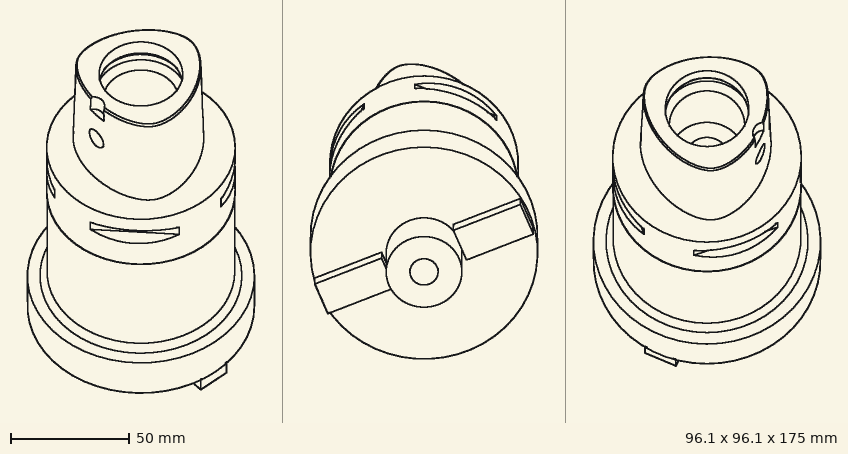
import cadquery as cq
import math

total_height = 175.0
flange_bottom = 22.0
flange_top = 42.0
collar_height = 3.0
band_bottom = 97.1
shank_bottom = 126.9

pilot_radius = 16.01
flange_radius = 48.04
body_radius = 39.7
band_radius = 39.9
collar_radius = body_radius + collar_height

shank_width = 55.3
lobe_offset = 2.0
shank_taper = 1 / 40
shank_chamfer_height = 1.2
shank_chamfer_width = 0.5
outline_steps = 36

mouth_radius = 17.7
mouth_depth = 7.4
groove_radius = 19.2
groove_flare_depth = 10.2
groove_depth = 13.6
bore_radius = 16.0
bore_shoulder_depth = 16.5
recess_radius = 9.0
through_radius = 6.0

notch_radius = 4.9
notch_depth = 8.0
notch_inner_y = -21.9
side_hole_radius = 4.5
side_hole_drop = 23.0
side_hole_floor_y = -19.2

grip_count = 4
grip_floor_distance = 35.2
grip_floor_height = 4.5
grip_mouth_height = 8.5
grip_drop = 11.7

key_width = 14.5
key_height = 7.0
key_inner_x = 16.5
key_outer_x = 47.0


def make_body():
    """Pilot, flange, conical collar and body as one turned solid."""
    profile = [
        (0, 0),
        (pilot_radius, 0),
        (pilot_radius, flange_bottom),
        (flange_radius, flange_bottom),
        (flange_radius, flange_top),
        (collar_radius, flange_top),
        (body_radius, flange_top + collar_height),
        (body_radius, band_bottom),
        (band_radius, band_bottom),
        (band_radius, shank_bottom),
        (0, shank_bottom),
    ]
    return cq.Workplane("XZ").polyline(profile).close().revolve(360, (0, 0), (0, 1))


def lobe_point(mean_radius, angle):
    """Point of the three-lobed outline, with one lobe pointing to +Y."""
    across = mean_radius * math.sin(angle) + lobe_offset * (2 * math.sin(2 * angle) + math.sin(4 * angle))
    along = mean_radius * math.cos(angle) - lobe_offset * (2 * math.cos(2 * angle) - math.cos(4 * angle))
    return (across, -along)


def lobe_wire(mean_radius, height):
    points = []
    for step in range(outline_steps):
        x, y = lobe_point(mean_radius, 2 * math.pi * step / outline_steps)
        points.append(cq.Vector(x, y, height))
    return cq.Wire.assembleEdges([cq.Edge.makeSpline(points, periodic=True)])


def make_shank():
    """Tapered shank with a chamfered top edge."""
    chamfer_bottom = total_height - shank_chamfer_height
    base_radius = shank_width / 2
    upper_radius = base_radius - shank_taper * (chamfer_bottom - shank_bottom)
    base = lobe_wire(base_radius, shank_bottom)
    upper = lobe_wire(upper_radius, chamfer_bottom)
    top = lobe_wire(upper_radius - shank_chamfer_width, total_height)
    taper = cq.Solid.makeLoft([base, upper], True)
    chamfer = cq.Solid.makeLoft([upper, top], True)
    return cq.Workplane(taper).union(cq.Workplane(chamfer))


def make_bore():
    """Stepped bore with an internal groove and a through hole."""
    profile = [
        (0, 0),
        (through_radius, 0),
        (through_radius, flange_top),
        (recess_radius, flange_top),
        (recess_radius, shank_bottom),
        (bore_radius, shank_bottom),
        (bore_radius, total_height - bore_shoulder_depth),
        (groove_radius, total_height - groove_depth),
        (groove_radius, total_height - groove_flare_depth),
        (mouth_radius, total_height - mouth_depth),
        (mouth_radius, total_height),
        (0, total_height),
    ]
    return cq.Workplane("XZ").polyline(profile).close().revolve(360, (0, 0), (0, 1))


def make_notch():
    """Upright round-backed notch, open at the top and at -Y."""
    centre_y = notch_inner_y - notch_radius
    floor = cq.Workplane("XY", origin=(0, centre_y, total_height - notch_depth))
    return floor.circle(notch_radius).extrude(notch_depth)


def make_side_hole():
    floor = cq.Workplane("XZ", origin=(0, side_hole_floor_y, total_height - side_hole_drop))
    return floor.circle(side_hole_radius).extrude(shank_width / 2)


def make_grip_groove(angle):
    """Straight groove with a flat floor and sloping sides, facing the given direction."""
    half_floor = grip_floor_height / 2
    half_mouth = grip_mouth_height / 2
    profile = [
        (grip_floor_distance, -half_floor),
        (band_radius, -half_mouth),
        (band_radius, half_mouth),
        (grip_floor_distance, half_floor),
    ]
    middle = cq.Workplane("XZ", origin=(0, 0, shank_bottom - grip_drop))
    groove = middle.polyline(profile).close().extrude(band_radius, both=True)
    return groove.rotate((0, 0, 0), (0, 0, 1), angle)


def make_key(side):
    """Drive key on the +X (side = 1) or -X (side = -1) half of the flange."""
    key_middle = side * (key_inner_x + key_outer_x) / 2
    mount = cq.Workplane("XY", origin=(key_middle, 0, flange_bottom))
    return mount.rect(key_outer_x - key_inner_x, key_width).extrude(-key_height)


result = make_body().union(make_shank())
for key_side in (-1, 1):
    result = result.union(make_key(key_side))
result = result.cut(make_bore()).cut(make_notch()).cut(make_side_hole())
for index in range(grip_count):
    result = result.cut(make_grip_groove((index + 0.5) * 360 / grip_count))